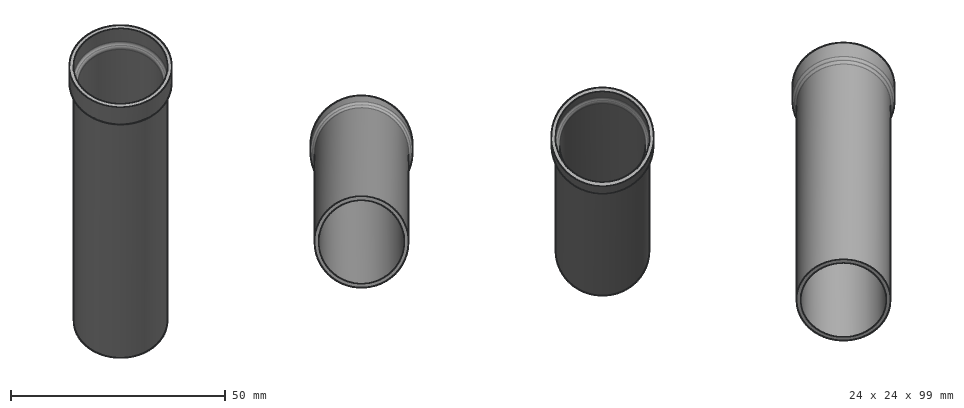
import cadquery as cq
import math

total_length = 99.0
collar_radius = 12.0
wall = 1.0
bend_radius = 1.1
outer_shoulder_depth = 6.4
inner_shoulder_depth = 4.95

tube_radius = collar_radius - wall


def stepped_cylinder(upper_radius, lower_radius, shoulder_depth):
    """Solid of revolution whose radius narrows through two equal tangent arcs."""
    step = upper_radius - lower_radius
    bend_angle = math.acos(1 - step / (2 * bend_radius))
    bend_height = bend_radius * math.sin(bend_angle)
    arc_mid_inset = bend_radius * (1 - math.cos(bend_angle / 2))
    arc_mid_drop = bend_radius * math.sin(bend_angle / 2)

    shoulder_top = total_length - shoulder_depth
    inflection = (upper_radius - step / 2, shoulder_top - bend_height)
    shoulder_bottom = shoulder_top - 2 * bend_height

    return (
        cq.Workplane("XZ")
        .moveTo(0, total_length)
        .lineTo(upper_radius, total_length)
        .lineTo(upper_radius, shoulder_top)
        .threePointArc((upper_radius - arc_mid_inset, shoulder_top - arc_mid_drop), inflection)
        .threePointArc(
            (lower_radius + arc_mid_inset, shoulder_bottom + arc_mid_drop),
            (lower_radius, shoulder_bottom),
        )
        .lineTo(lower_radius, 0)
        .lineTo(0, 0)
        .close()
        .revolve(360, (0, 0, 0), (0, 1, 0))
    )


body = stepped_cylinder(collar_radius, tube_radius, outer_shoulder_depth)
bore = stepped_cylinder(collar_radius - wall, tube_radius - wall, inner_shoulder_depth)

result = body.cut(bore)